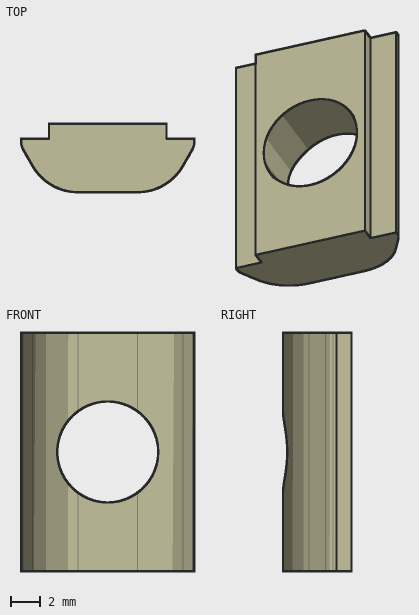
import cadquery as cq
import math

width = 11.6
depth = 4.6
length = 16.0

neck_width = 7.9
neck_height = 1.0

front_flat_width = 4.0
front_radius = 3.5
side_radius = 1.0
flank_angle = math.radians(60)

hole_diameter = 6.75

half_width = width / 2
shoulder_y = depth - neck_height


def arc_point(center, radius, angle):
    """Point on a circle at the given angle from the +X axis."""
    return (center[0] + radius * math.cos(angle), center[1] + radius * math.sin(angle))


def make_body():
    flank_normal = flank_angle - math.pi / 2
    front_center = (front_flat_width / 2, front_radius)
    front_start = (front_flat_width / 2, 0)
    front_mid = arc_point(front_center, front_radius, (flank_normal - math.pi / 2) / 2)
    front_end = arc_point(front_center, front_radius, flank_normal)

    side_center_x = half_width - side_radius
    side_start_x = side_center_x + side_radius * math.cos(flank_normal)
    side_start_y = front_end[1] + (side_start_x - front_end[0]) * math.tan(flank_angle)
    side_start = (side_start_x, side_start_y)
    side_center = (side_center_x, side_start_y - side_radius * math.sin(flank_normal))
    side_mid = arc_point(side_center, side_radius, flank_normal / 2)
    side_end = (half_width, side_center[1])

    half_body = (
        cq.Workplane("XY")
        .lineTo(*front_start)
        .threePointArc(front_mid, front_end)
        .lineTo(*side_start)
        .threePointArc(side_mid, side_end)
        .lineTo(half_width, shoulder_y)
        .lineTo(neck_width / 2, shoulder_y)
        .lineTo(neck_width / 2, depth)
        .lineTo(0, depth)
        .mirrorY()
    )
    return half_body.extrude(length)


def make_hole():
    return (
        cq.Workplane("XZ")
        .center(0, length / 2)
        .circle(hole_diameter / 2)
        .extrude(-depth)
    )


result = make_body().cut(make_hole())